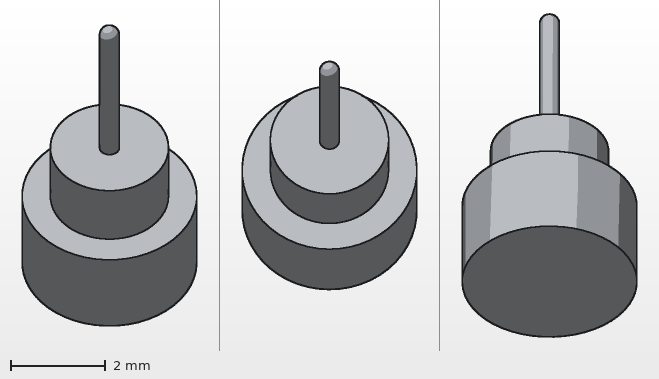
import cadquery as cq

total_height = 7.25
base_height = 2.05
neck_top = 3.55

base_diameter = 3.7
neck_diameter = 2.5
pin_diameter = 0.42

tip_height = 0.19

pin_radius = pin_diameter / 2
tip_start = total_height - tip_height


def cylinder(diameter, bottom, top):
    """Upright cylinder on the Z axis between two heights."""
    return cq.Workplane("XY").workplane(offset=bottom).circle(diameter / 2).extrude(top - bottom)


def round_tipped_pin():
    """Pin revolved from a half profile, running from the neck top to the tip."""
    cap_radius = (pin_radius**2 + tip_height**2) / (2 * tip_height)
    cap_centre = total_height - cap_radius
    arc_x = pin_radius / 2
    arc_z = cap_centre + (cap_radius**2 - arc_x**2) ** 0.5
    return (
        cq.Workplane("XZ")
        .moveTo(0, neck_top)
        .lineTo(pin_radius, neck_top)
        .lineTo(pin_radius, tip_start)
        .threePointArc((arc_x, arc_z), (0, total_height))
        .close()
        .revolve(360, (0, 0, 0), (0, 1, 0))
    )


base = cylinder(base_diameter, 0, base_height)
neck = cylinder(neck_diameter, base_height, neck_top)

result = base.union(neck).union(round_tipped_pin())